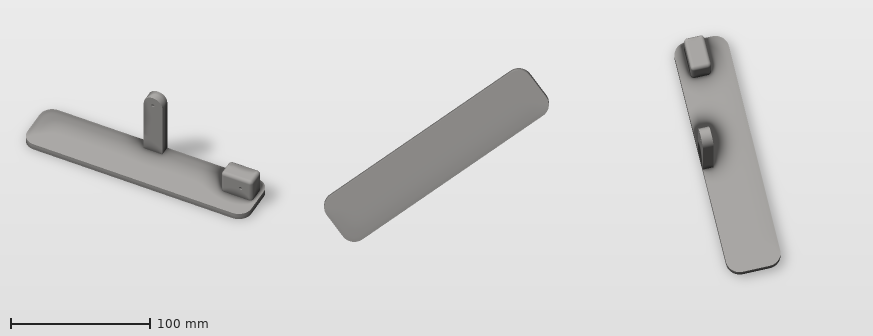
import cadquery as cq

base_length = 180.0
base_width = 40.0
base_thickness = 5.0
base_corner_radius = 10.0

post_width = 15.0
post_depth = 8.0
post_top = 57.5
post_radius = post_width / 2
post_axis_z = post_top - post_radius

block_length = 25.0
block_width = 15.0
block_height = 18.0
block_fillet = 2.5
block_end_gap = 3.0

hole_diameter = 2.5
block_hole_end_gap = 9.0
block_hole_z = 14.0
block_hole_depth = block_width / 2

base_back = base_width / 2
post_front = base_back - post_depth
block_front = post_front - block_width
block_right = base_length / 2 - block_end_gap


def make_base():
    plate = cq.Workplane("XY").box(base_length, base_width, base_thickness, centered=(True, True, False))
    return plate.edges("|Z").fillet(base_corner_radius)


def make_post():
    return (
        cq.Workplane("XZ", origin=(0, base_back, 0))
        .moveTo(-post_radius, 0)
        .lineTo(post_radius, 0)
        .lineTo(post_radius, post_axis_z)
        .threePointArc((0, post_top), (-post_radius, post_axis_z))
        .close()
        .extrude(post_depth)
    )


def make_block():
    block_center = (block_right - block_length / 2, post_front - block_width / 2, base_thickness)
    block = cq.Workplane("XY", origin=block_center).box(
        block_length, block_width, block_height, centered=(True, True, False)
    )
    return block.edges("|Z or >Z").fillet(block_fillet)


def cross_hole(x, front_y, z, depth):
    """Cylinder that enters at front_y and runs toward +Y."""
    return cq.Workplane("XZ", origin=(x, front_y, z)).circle(hole_diameter / 2).extrude(-depth)


post_hole = cross_hole(0, post_front, post_axis_z, post_depth)
block_hole = cross_hole(block_right - block_hole_end_gap, block_front, block_hole_z, block_hole_depth)

result = make_base().union(make_post()).union(make_block()).cut(post_hole).cut(block_hole)